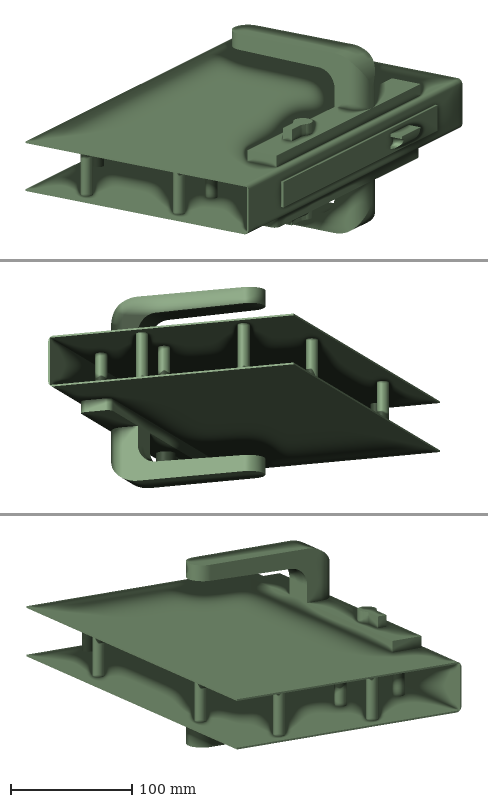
import cadquery as cq
import math

sheet_length = 217.0
sheet_width = 330.0
sheet_height = 43.0
sheet_thickness = 1.5
bend_radius = 4.5
sheet_half_height = sheet_height / 2

post_diameter = 10.0
post_positions = [(17.0, 80.0), (50.0, 150.0), (140.0, 150.0), (140.0, 100.0)]

plate_width = 28.0
plate_length = 222.5
plate_thickness = 10.0
plate_center_x = 197.0
plate_center_y = -1.1
plate_corner_radius = 5.0
plate_post_spacing = 195.0
plate_face_z = sheet_half_height + plate_thickness

lever_center_y = 35.7
lever_tip_x = 76.6
lever_tip_radius = 13.3
lever_neck_radius = plate_width / 2
lever_top_z = 78.0
lever_tip_thickness = 13.5
lever_neck_thickness = 15.0
lever_outer_radius = 28.0
lever_inner_radius = 16.0

lever_to_cylinder = 85.0
cylinder_center_y = lever_center_y - lever_to_cylinder
cylinder_radius = 8.0
cylinder_height = 32.0
cylinder_web_width = 8.5
cylinder_projection = 10.0
cylinder_taper_start = 5.0
cylinder_taper_end = 9.3

faceplate_length = 238.0
faceplate_width = 22.0
faceplate_thickness = 2.5
faceplate_center_y = 4.0
latch_end_x = 231.0
latch_width = 28.0
latch_height = 13.0
latch_center_y = 64.0
latch_groove_radius = 4.0


def make_sheet():
    """U-shaped skin, open toward -X, rounded outside and square inside along the +X edge."""
    outer = (
        cq.Workplane("XY")
        .box(sheet_length, sheet_width, sheet_height)
        .edges(">X and |Y")
        .fillet(bend_radius)
    )
    inner = (
        cq.Workplane("XY")
        .box(sheet_length, sheet_width, sheet_height - 2 * sheet_thickness)
        .translate((-sheet_thickness, 0, 0))
    )
    return outer.cut(inner).translate((sheet_length / 2, 0, 0))


def make_posts():
    """Round spacers spanning between the skins, with one pair behind the handle plates."""
    points = [(x, side * y) for x, y in post_positions for side in (1, -1)]
    for side in (1, -1):
        points.append((plate_center_x, plate_center_y + side * plate_post_spacing / 2))
    post_length = sheet_height - sheet_thickness
    return (
        cq.Workplane("XY")
        .workplane(offset=-post_length / 2)
        .pushPoints(points)
        .circle(post_diameter / 2)
        .extrude(post_length)
    )


def make_plate():
    """Plain handle plate on the top skin."""
    return (
        cq.Workplane("XY", origin=(plate_center_x, plate_center_y, sheet_half_height))
        .rect(plate_width, plate_length)
        .extrude(plate_thickness)
    )


def make_lever():
    """Upper lever: a bent side profile trimmed by a tapered, round-ended plan outline."""
    neck_outer_x = plate_center_x + plate_width / 2
    neck_inner_x = plate_center_x - plate_width / 2
    profile = (
        cq.Workplane("XZ")
        .moveTo(neck_outer_x, plate_face_z)
        .lineTo(neck_outer_x, lever_top_z - lever_outer_radius)
        .radiusArc((neck_outer_x - lever_outer_radius, lever_top_z), -lever_outer_radius)
        .lineTo(lever_tip_x, lever_top_z)
        .lineTo(lever_tip_x, lever_top_z - lever_tip_thickness)
        .lineTo(neck_inner_x - lever_inner_radius, lever_top_z - lever_neck_thickness)
        .radiusArc(
            (neck_inner_x, lever_top_z - lever_neck_thickness - lever_inner_radius),
            lever_inner_radius,
        )
        .lineTo(neck_inner_x, plate_face_z)
        .close()
        .extrude(plate_width / 2, both=True)
        .translate((0, lever_center_y, 0))
    )
    tip_center_x = lever_tip_x + lever_tip_radius
    plan = (
        cq.Workplane("XY", origin=(0, lever_center_y, plate_face_z))
        .moveTo(tip_center_x, lever_tip_radius)
        .threePointArc((lever_tip_x, 0), (tip_center_x, -lever_tip_radius))
        .lineTo(plate_center_x, -lever_neck_radius)
        .threePointArc((neck_outer_x, 0), (plate_center_x, lever_neck_radius))
        .close()
        .extrude(lever_top_z - plate_face_z)
    )
    return profile.intersect(plan)


def make_cylinder():
    """Keyhole-shaped end of the profile cylinder on the top plate."""
    web_half = cylinder_web_width / 2
    web_bottom = cylinder_radius - cylinder_height
    taper_half = math.sqrt(cylinder_radius**2 - cylinder_taper_start**2)
    return (
        cq.Workplane("XY", origin=(plate_center_x, cylinder_center_y, plate_face_z))
        .moveTo(-taper_half, -cylinder_taper_start)
        .threePointArc((0, cylinder_radius), (taper_half, -cylinder_taper_start))
        .lineTo(web_half, -cylinder_taper_end)
        .lineTo(web_half, web_bottom)
        .lineTo(-web_half, web_bottom)
        .lineTo(-web_half, -cylinder_taper_end)
        .close()
        .extrude(cylinder_projection)
    )


def make_faceplate():
    """Flat lock faceplate on the folded edge."""
    return (
        cq.Workplane("YZ", origin=(sheet_length, faceplate_center_y, 0))
        .rect(faceplate_length, faceplate_width)
        .extrude(faceplate_thickness)
    )


def make_latch():
    """Latch bolt with a quarter-round underside and a half-round groove along its -Y side."""
    arc_center_x = latch_end_x - latch_height
    half_height = latch_height / 2
    body = (
        cq.Workplane("XZ")
        .moveTo(arc_center_x, half_height)
        .lineTo(latch_end_x, half_height)
        .radiusArc((arc_center_x, -half_height), latch_height)
        .close()
        .extrude(latch_width / 2, both=True)
        .translate((0, latch_center_y, 0))
    )
    latch_root_x = sheet_length + faceplate_thickness
    latch_side_y = latch_center_y - latch_width / 2
    groove = (
        cq.Workplane("YZ", origin=(latch_root_x, latch_side_y, 0))
        .circle(latch_groove_radius)
        .extrude(latch_height)
    )
    return body.cut(groove)


def mirrored_below(body):
    """Copy of a top-side body reflected to the bottom side."""
    return body.mirror("XY")


top_plate = make_plate()
bottom_plate = mirrored_below(top_plate).edges("|Z").fillet(plate_corner_radius)
handle_fittings = make_lever().union(make_cylinder())

result = (
    make_sheet()
    .union(make_posts())
    .union(top_plate)
    .union(bottom_plate)
    .union(handle_fittings)
    .union(mirrored_below(handle_fittings))
    .union(make_faceplate())
    .union(make_latch())
)